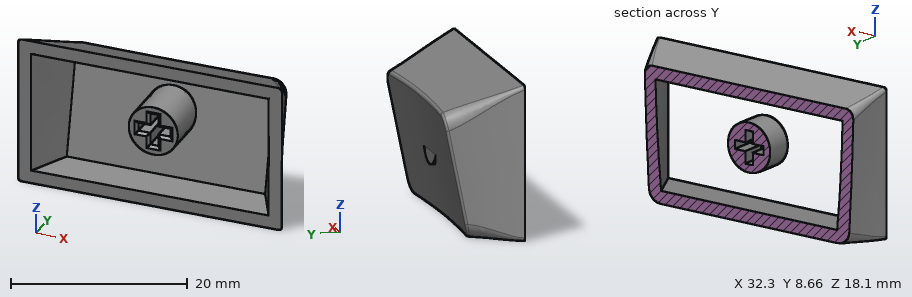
import cadquery as cq
import math

WIDTH = 32.3
HEIGHT = 18.1
WALL = 1.6

BACK_WIDTH = 26.5
BACK_HEIGHT = 14.35
BACK_DEPTH_TOP = 8.82
BACK_DEPTH_BOTTOM = 5.88
RIM_CORNER_RADIUS = 0.45
BACK_CORNER_RADIUS = 1.8
LOFT_STEPS = 6
DISH_DEPTH = 0.5
EDGE_RADIUS = 0.42

FLOOR_WIDTH = 24.3
FLOOR_TOP = 13.37
FLOOR_DEPTH_TOP = 7.35
FLOOR_DEPTH_BOTTOM = 4.75

STEM_DIAMETER = 6.0
STEM_Z = HEIGHT / 2
STEM_FRONT = 1.0
CROSS_LENGTH = 4.65
CROSS_ARM = 1.7
CROSS_CHAMFER = 0.35
STEM_BACK_COVER = 0.78

BACK_SLOPE = (BACK_DEPTH_TOP - BACK_DEPTH_BOTTOM) / BACK_HEIGHT


def section(width, bottom, top, depth_bottom, depth_top, radius=0):
    """Rectangle, optionally rounded, in a plane tilted about X."""
    rise = top - bottom
    run = depth_top - depth_bottom
    plane = cq.Plane(
        origin=(0, (depth_bottom + depth_top) / 2, (bottom + top) / 2),
        xDir=(1, 0, 0),
        normal=(0, -rise, run),
    )
    wire = cq.Workplane(plane).rect(width, math.hypot(rise, run)).val()
    return wire.fillet2D(radius, wire.Vertices()) if radius else wire


def shell_section(t):
    """Outer section at fraction t from rim to back; the corner radius eases in and out."""
    ease = t * t * (3 - 2 * t)
    return section(
        WIDTH + t * (BACK_WIDTH - WIDTH),
        0,
        HEIGHT + t * (BACK_HEIGHT - HEIGHT),
        t * BACK_DEPTH_BOTTOM,
        t * BACK_DEPTH_TOP,
        RIM_CORNER_RADIUS + ease * (BACK_CORNER_RADIUS - RIM_CORNER_RADIUS),
    )


def outer_body():
    sections = [shell_section(i / LOFT_STEPS) for i in range(LOFT_STEPS + 1)]
    return cq.Workplane(cq.Solid.makeLoft(sections))


def dish():
    """Cylinder running up the sloped back face, sunk by DISH_DEPTH at the middle."""
    half_width = BACK_WIDTH / 2
    radius = (half_width**2 + DISH_DEPTH**2) / (2 * DISH_DEPTH)
    plane = cq.Plane(
        origin=(0, BACK_DEPTH_BOTTOM, 0), xDir=(1, 0, 0), normal=(0, BACK_SLOPE, 1)
    )
    return cq.Workplane(plane).center(0, radius - DISH_DEPTH).circle(radius).extrude(HEIGHT, both=True)


def cavity():
    opening = section(WIDTH - 2 * WALL, WALL, HEIGHT - WALL, 0, 0)
    floor = section(FLOOR_WIDTH, WALL, FLOOR_TOP, FLOOR_DEPTH_BOTTOM, FLOOR_DEPTH_TOP)
    return cq.Workplane(cq.Solid.makeLoft([opening, floor], True))


def stem_plane():
    return cq.Plane(origin=(0, STEM_FRONT, STEM_Z), xDir=(1, 0, 0), normal=(0, 1, 0))


def stem():
    """Post reaching from its front face into the back wall."""
    length = BACK_DEPTH_BOTTOM + BACK_SLOPE * STEM_Z - STEM_BACK_COVER - STEM_FRONT
    return cq.Workplane(stem_plane()).circle(STEM_DIAMETER / 2).extrude(length)


def cross_bar(length, width):
    """One bar of the cross socket, with a 45 degree chamfered mouth."""
    mouth = cq.Workplane(stem_plane()).rect(length, width).extrude(CROSS_CHAMFER, taper=45)
    slot = (
        cq.Workplane(stem_plane())
        .rect(length - 2 * CROSS_CHAMFER, width - 2 * CROSS_CHAMFER)
        .extrude(BACK_DEPTH_TOP)
    )
    return mouth.union(slot)


def stem_cross():
    """Cross socket that ends on the cavity floor."""
    cross = cross_bar(CROSS_LENGTH, CROSS_ARM).union(cross_bar(CROSS_ARM, CROSS_LENGTH))
    return cross.intersect(cavity())


body = outer_body().cut(dish())
body = body.faces(">Y").edges().fillet(EDGE_RADIUS)

result = body.cut(cavity()).union(stem()).cut(stem_cross())